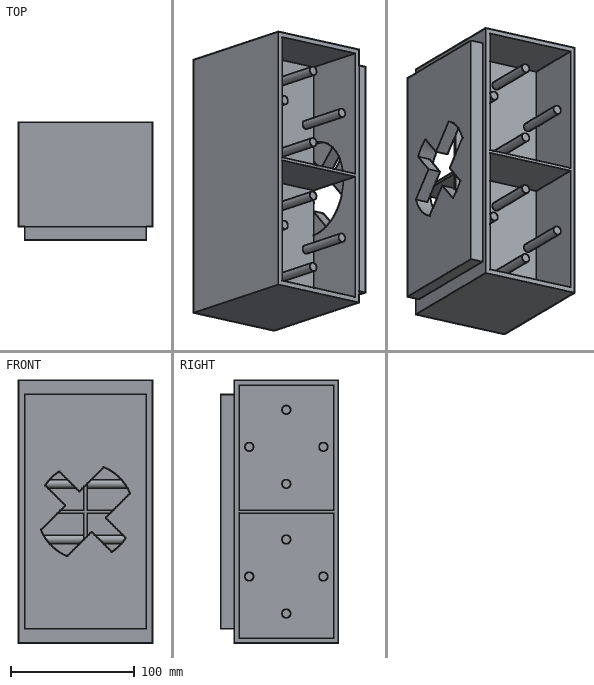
import cadquery as cq

box_width = 108.8
box_depth = 84.5
box_height = 213.0
wall = 4.0
partition = 2.5

plate_thickness = 11.0
plate_side_margin = 5.1
plate_end_margin = 11.5

pin_diameter = 7.0
pin_circle_radius = 30.0
pin_circle_height = 52.5
pin_length = 46.0

window_diameter = 78.0
wide_arm_width = 30.0
narrow_arm_width = 16.0
window_turn = 45.0

box_front = -box_depth / 2
pin_span = 2 * pin_length + partition


def make_frame():
    """Four-walled box; the partitions reach half way into the walls to join them."""
    shell = cq.Workplane("XY").box(box_width, box_depth, box_height)
    opening = cq.Workplane("XY").box(box_width, box_depth - 2 * wall, box_height - 2 * wall)
    upright = cq.Workplane("XY").box(partition, box_depth - wall, box_height - wall)
    level = cq.Workplane("XY").box(box_width, box_depth - wall, partition)
    return shell.cut(opening).union(upright).union(level)


def make_plate():
    """Plate on the front face, leaving a margin all round."""
    width = box_width - 2 * plate_side_margin
    height = box_height - 2 * plate_end_margin
    return cq.Workplane("XZ", origin=(0, box_front, 0)).rect(width, height).extrude(plate_thickness)


def make_pins():
    """Two circles of four pins, each pin running through the upright partition."""
    pins = cq.Workplane("YZ", origin=(-pin_span / 2, 0, 0))
    for centre_height in (-pin_circle_height, pin_circle_height):
        for across, up in ((1, 0), (0, 1), (-1, 0), (0, -1)):
            place = (across * pin_circle_radius, centre_height + up * pin_circle_radius)
            pins = pins.moveTo(*place).circle(pin_diameter / 2).extrude(pin_span)
    return pins


def make_window():
    """Cutter for a cross through the plate and a full disc through the wall behind it."""
    face = cq.Workplane("XZ", origin=(0, box_front, 0))
    wide_arm = face.rect(window_diameter, wide_arm_width).extrude(plate_thickness)
    narrow_arm = face.rect(narrow_arm_width, window_diameter).extrude(plate_thickness)
    plate_disc = face.circle(window_diameter / 2).extrude(plate_thickness)
    wall_disc = face.circle(window_diameter / 2).extrude(-wall)
    cross = wide_arm.union(narrow_arm).intersect(plate_disc)
    turned_cross = cross.rotate((0, 0, 0), (0, 1, 0), -window_turn)
    return turned_cross.union(wall_disc)


result = make_frame().union(make_plate()).cut(make_window()).union(make_pins())